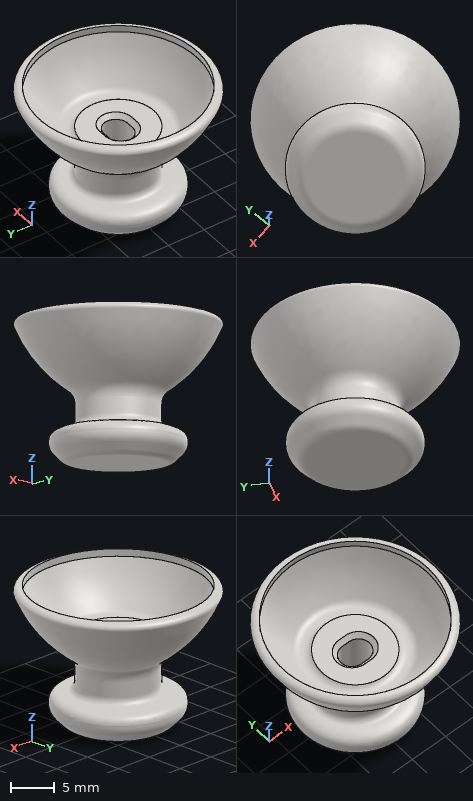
import cadquery as cq
import math

total_height = 16.92

flange_radius = 8.0
flange_height = 4.0
flange_bevel_angle = 45.0
flange_bevel_leg = 1.72
flange_edge_round = 1.5
flange_shoulder_height = 2.71

neck_radius = 5.0
neck_foot_round = 1.0
neck_top_height = 6.94
neck_flare_round = 2.0
neck_flare_angle = 56.0

rim_base_height = 16.0
bowl_outer_radius = 12.012
wall_thickness = 0.95
floor_height = 10.9
floor_radius = neck_radius
groove_outer_radius = 7.3
groove_round = 1.55

socket_length = 4.3
socket_width = 3.3
socket_chamfer = 0.6
socket_chamfer_angle = 45.0
socket_bottom = flange_height


def arc_point(center, radius, angle):
    """Point on a circle, angle in degrees from the radial axis."""
    turn = math.radians(angle)
    return center[0] + radius * math.cos(turn), center[1] + radius * math.sin(turn)


def bowl_circle():
    """Center and radius of the outer bowl arc, which runs tangent from the neck flare to the rim."""
    flare_center = (neck_radius + neck_flare_round, neck_top_height)
    start = arc_point(flare_center, neck_flare_round, 180 - neck_flare_angle)
    run = bowl_outer_radius - start[0]
    rise = rim_base_height - start[1]
    start_slope = math.radians(90 - neck_flare_angle)
    half_turn = math.atan2(rise, run) - start_slope
    radius = math.hypot(run, rise) / (2 * math.sin(half_turn))
    center = (start[0] - radius * math.sin(start_slope), start[1] + radius * math.cos(start_slope))
    return center, radius


def circle_radius_at(center, radius, height):
    """Distance from the part axis to the bowl circle at a given height."""
    return center[0] + math.sqrt(radius**2 - (height - center[1]) ** 2)


def arc_midpoint(center, start, end):
    """Point halfway along the shorter arc from start to end."""
    chord_x = (start[0] + end[0]) / 2 - center[0]
    chord_z = (start[1] + end[1]) / 2 - center[1]
    scale = math.dist(center, start) / math.hypot(chord_x, chord_z)
    return center[0] + chord_x * scale, center[1] + chord_z * scale


def make_body():
    """Revolve the full half section: flange, neck, bowl, rim and floor."""
    round_trim = flange_edge_round * math.tan(math.radians(flange_bevel_angle / 2))
    bottom_round_center = (flange_radius - flange_bevel_leg - round_trim, flange_edge_round)
    side_round_center = (flange_radius - flange_edge_round, flange_bevel_leg + round_trim)
    bevel_normal = flange_bevel_angle - 90
    bottom_round_mid = arc_point(bottom_round_center, flange_edge_round, (bevel_normal - 90) / 2)
    bottom_round_end = arc_point(bottom_round_center, flange_edge_round, bevel_normal)
    side_round_start = arc_point(side_round_center, flange_edge_round, bevel_normal)
    side_round_mid = arc_point(side_round_center, flange_edge_round, bevel_normal / 2)

    dome_inner_radius = neck_radius + neck_foot_round
    dome_width = flange_radius - dome_inner_radius
    dome_rise = flange_height - flange_shoulder_height

    foot_center = (dome_inner_radius, flange_height + neck_foot_round)
    foot_mid = arc_point(foot_center, neck_foot_round, 225)
    flare_center = (neck_radius + neck_flare_round, neck_top_height)
    flare_mid = arc_point(flare_center, neck_flare_round, 180 - neck_flare_angle / 2)
    flare_end = arc_point(flare_center, neck_flare_round, 180 - neck_flare_angle)

    bowl_center, outer_arc_radius = bowl_circle()
    inner_arc_radius = outer_arc_radius - wall_thickness
    rim_outer = (bowl_outer_radius, rim_base_height)
    rim_inner = (circle_radius_at(bowl_center, inner_arc_radius, rim_base_height), rim_base_height)
    wall_direction = (bowl_center[1] - rim_base_height, bowl_outer_radius - bowl_center[0])
    inward = (-1, 0)
    rim_crest = (rim_inner[0], total_height)
    groove_outer = (
        groove_outer_radius,
        bowl_center[1] - math.sqrt(inner_arc_radius**2 - (groove_outer_radius - bowl_center[0]) ** 2),
    )
    floor_edge = (floor_radius, floor_height)

    profile = (
        cq.Workplane("XZ")
        .lineTo(bottom_round_center[0], 0)
        .threePointArc(bottom_round_mid, bottom_round_end)
        .lineTo(*side_round_start)
        .threePointArc(side_round_mid, (flange_radius, side_round_center[1]))
        .lineTo(flange_radius, flange_shoulder_height)
        .ellipseArc(dome_width, dome_rise, 0, 90, startAtCurrent=True)
        .threePointArc(foot_mid, (neck_radius, foot_center[1]))
        .lineTo(neck_radius, neck_top_height)
        .threePointArc(flare_mid, flare_end)
        .threePointArc(arc_midpoint(bowl_center, flare_end, rim_outer), rim_outer)
        .spline([rim_crest], tangents=[wall_direction, inward], includeCurrent=True)
        .lineTo(*rim_inner)
        .threePointArc(arc_midpoint(bowl_center, rim_inner, groove_outer), groove_outer)
        .radiusArc(floor_edge, groove_round)
        .lineTo(0, floor_height)
        .close()
    )
    return profile.revolve(360, (0, 0, 0), (0, 1, 0))


def make_socket():
    """Blind slot with a chamfered mouth, cut down from the bowl floor."""
    slot = (
        cq.Workplane("XY")
        .workplane(offset=socket_bottom)
        .slot2D(socket_length, socket_width)
        .extrude(floor_height - socket_bottom)
    )
    mouth = (
        cq.Workplane("XY")
        .workplane(offset=floor_height)
        .slot2D(socket_length + 2 * socket_chamfer, socket_width + 2 * socket_chamfer)
        .extrude(-socket_chamfer, taper=socket_chamfer_angle)
    )
    return slot.union(mouth)


result = make_body().cut(make_socket())